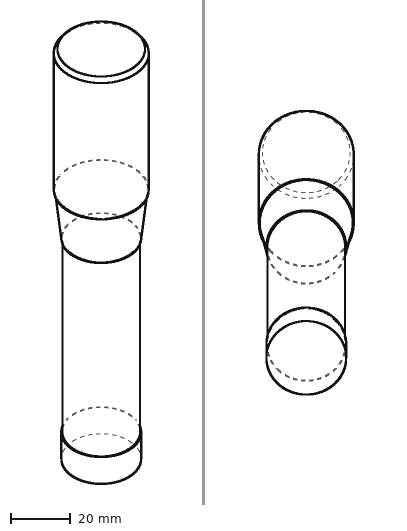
import cadquery as cq

total_length = 180.8
shank_diameter = 31.8
shank_bottom = 120.5
shank_chamfer_height = 1.8
shank_chamfer_width = 1.3
taper_bottom = 99.6
taper_top_diameter = 31.1
taper_bottom_diameter = 26.8
neck_diameter = 26.0
tip_diameter = 26.8
tip_top = 16.3
point_height = 4.7


def make_holder():
    """Chamfered shank, tapered collar and slim neck, turned as one solid."""
    shank_radius = shank_diameter / 2
    neck_radius = neck_diameter / 2
    return (
        cq.Workplane("XZ")
        .moveTo(0, tip_top)
        .lineTo(neck_radius, tip_top)
        .lineTo(neck_radius, taper_bottom)
        .lineTo(taper_bottom_diameter / 2, taper_bottom)
        .lineTo(taper_top_diameter / 2, shank_bottom)
        .lineTo(shank_radius, shank_bottom)
        .lineTo(shank_radius, total_length - shank_chamfer_height)
        .lineTo(shank_radius - shank_chamfer_width, total_length)
        .lineTo(0, total_length)
        .close()
        .revolve(360, (0, 0, 0), (0, 1, 0))
    )


def make_cutting_tip():
    """Short cylinder with a conical point, seated against the neck's end."""
    tip_radius = tip_diameter / 2
    return (
        cq.Workplane("XZ")
        .moveTo(0, 0)
        .lineTo(tip_radius, point_height)
        .lineTo(tip_radius, tip_top)
        .lineTo(0, tip_top)
        .close()
        .revolve(360, (0, 0, 0), (0, 1, 0))
    )


holder = make_holder()
cutting_tip = make_cutting_tip()

result = cq.Compound.makeCompound([holder.val(), cutting_tip.val()])